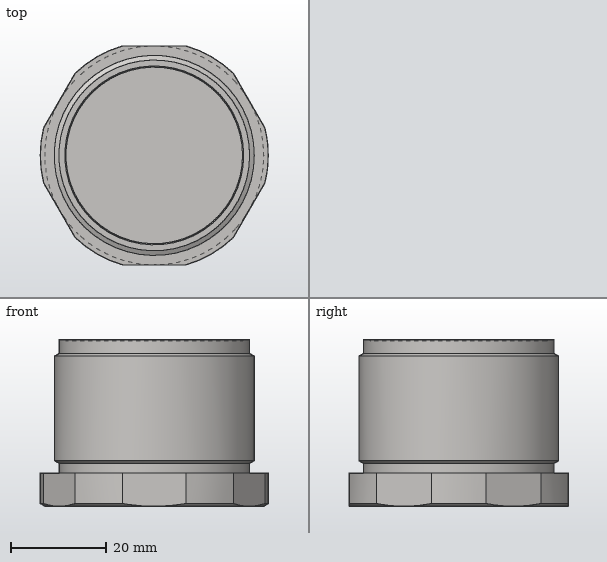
import cadquery as cq
import math

FLANGE_DIAMETER = 47.85
ACROSS_FLATS = 46.0
FLANGE_HEIGHT = 6.95
FLANGE_CHAMFER_RISE = 0.57
FLANGE_CHAMFER_INSET = 0.95

NECK_DIAMETER = 40.0
BODY_DIAMETER = 41.95
BODY_BOTTOM = 9.0
BODY_TOP = 32.05
BODY_CHAMFER_RISE = 0.57
TOTAL_HEIGHT = 35.0

RECESS_DIAMETER = 37.5
RECESS_FLOOR_DIAMETER = 37.05
RECESS_DEPTH = 0.3

HEX_SIDES = 6


def make_flange():
    """Hexagonal prism trimmed to a round blank with a chamfered lower edge."""
    across_corners = ACROSS_FLATS / math.cos(math.pi / HEX_SIDES)
    hexagon = cq.Workplane("XY").polygon(HEX_SIDES, across_corners).extrude(FLANGE_HEIGHT)
    radius = FLANGE_DIAMETER / 2
    blank = (
        cq.Workplane("XZ")
        .moveTo(0, 0)
        .lineTo(radius - FLANGE_CHAMFER_INSET, 0)
        .lineTo(radius, FLANGE_CHAMFER_RISE)
        .lineTo(radius, FLANGE_HEIGHT)
        .lineTo(0, FLANGE_HEIGHT)
        .close()
        .revolve()
    )
    return hexagon.intersect(blank)


def make_barrel():
    """Neck, chamfered body and rim as one turned profile, with the recess in its top."""
    neck = NECK_DIAMETER / 2
    body = BODY_DIAMETER / 2
    return (
        cq.Workplane("XZ")
        .moveTo(0, 0)
        .lineTo(neck, 0)
        .lineTo(neck, BODY_BOTTOM)
        .lineTo(body, BODY_BOTTOM + BODY_CHAMFER_RISE)
        .lineTo(body, BODY_TOP - BODY_CHAMFER_RISE)
        .lineTo(neck, BODY_TOP)
        .lineTo(neck, TOTAL_HEIGHT)
        .lineTo(RECESS_DIAMETER / 2, TOTAL_HEIGHT)
        .lineTo(RECESS_FLOOR_DIAMETER / 2, TOTAL_HEIGHT - RECESS_DEPTH)
        .lineTo(0, TOTAL_HEIGHT - RECESS_DEPTH)
        .close()
        .revolve()
    )


result = make_flange().union(make_barrel())